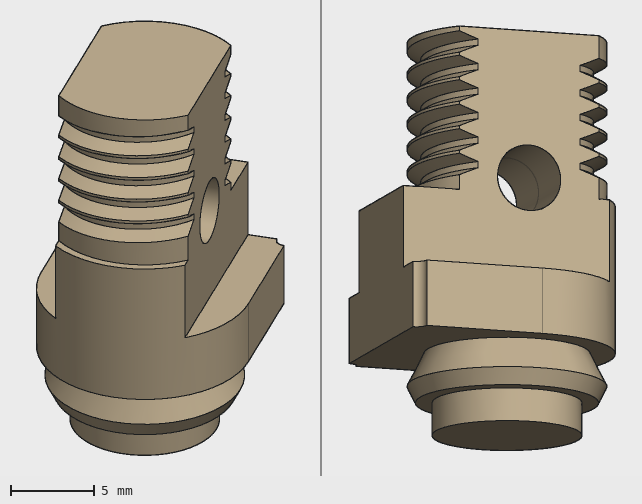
import cadquery as cq
import math

HEIGHT = 24.0
SPIGOT_TOP = HEIGHT / 12
CONE_RIDGE = HEIGHT / 8
COLLAR_BOTTOM = HEIGHT * 5 / 24
SHOULDER = HEIGHT * 3 / 8
STUD_BOTTOM = HEIGHT * 7 / 12

COLLAR_RADIUS = 6.5
COLLAR_BACK = 8.0
CORNER_NOTCH_RADIUS = 0.65
TONGUE_WIDTH = 8.1
STUD_RADIUS = 6.0

SPIGOT_RADIUS = STUD_RADIUS * 3 / 4
CONE_BOTTOM_RADIUS = 5.5
CONE_RIDGE_RADIUS = STUD_RADIUS
CONE_TOP_RADIUS = 5.0

HOLE_DIAMETER = 4.0
HOLE_HEIGHT = 15.0

PITCH = HEIGHT / 16
THREAD_TURNS = 5.5
THREAD_START = 15.0
GROOVE_MOUTH = PITCH * 7 / 8
GROOVE_ROOT = PITCH / 4
FLANK_SLOPE = math.tan(math.radians(30))
GROOVE_DEPTH = (GROOVE_MOUTH - GROOVE_ROOT) / 2 / FLANK_SLOPE
CUTTER_OVERLAP = 0.1


def make_lower_end():
    """Spigot and double cone, revolved about Z."""
    return (
        cq.Workplane("XZ")
        .moveTo(0, 0)
        .lineTo(SPIGOT_RADIUS, 0)
        .lineTo(SPIGOT_RADIUS, SPIGOT_TOP)
        .lineTo(CONE_BOTTOM_RADIUS, SPIGOT_TOP)
        .lineTo(CONE_RIDGE_RADIUS, CONE_RIDGE)
        .lineTo(CONE_TOP_RADIUS, COLLAR_BOTTOM)
        .lineTo(0, COLLAR_BOTTOM)
        .close()
        .revolve(360, (0, 0, 0), (0, 1, 0))
    )


def make_collar():
    """D-shaped body, rounded at -Y, with scalloped corners at +Y."""
    body_height = STUD_BOTTOM - COLLAR_BOTTOM
    corners = [(-COLLAR_RADIUS, COLLAR_BACK), (COLLAR_RADIUS, COLLAR_BACK)]
    body = (
        cq.Workplane("XY")
        .workplane(offset=COLLAR_BOTTOM)
        .moveTo(-COLLAR_RADIUS, COLLAR_BACK)
        .lineTo(-COLLAR_RADIUS, 0)
        .threePointArc((0, -COLLAR_RADIUS), (COLLAR_RADIUS, 0))
        .lineTo(COLLAR_RADIUS, COLLAR_BACK)
        .close()
        .extrude(body_height)
    )
    notches = (
        cq.Workplane("XY")
        .workplane(offset=COLLAR_BOTTOM)
        .pushPoints(corners)
        .circle(CORNER_NOTCH_RADIUS)
        .extrude(body_height)
    )
    return body.cut(notches)


def make_thread_groove():
    """Helical trapezoidal cutter, widened slightly past the stud surface."""
    path = cq.Wire.makeHelix(
        PITCH, PITCH * THREAD_TURNS, STUD_RADIUS, center=cq.Vector(0, 0, THREAD_START)
    )
    root_half = GROOVE_ROOT / 2
    outer_half = GROOVE_MOUTH / 2 + CUTTER_OVERLAP * FLANK_SLOPE
    root_radius = STUD_RADIUS - GROOVE_DEPTH
    outer_radius = STUD_RADIUS + CUTTER_OVERLAP
    return (
        cq.Workplane("XZ")
        .moveTo(root_radius, THREAD_START - root_half)
        .lineTo(outer_radius, THREAD_START - outer_half)
        .lineTo(outer_radius, THREAD_START + outer_half)
        .lineTo(root_radius, THREAD_START + root_half)
        .close()
        .sweep(cq.Workplane(path), isFrenet=True)
    )


def make_stud():
    """Threaded round stud."""
    stud = (
        cq.Workplane("XY")
        .workplane(offset=STUD_BOTTOM)
        .circle(STUD_RADIUS)
        .extrude(HEIGHT - STUD_BOTTOM)
    )
    return stud.cut(make_thread_groove())


def make_tongue_envelope():
    """Slab that limits everything above the shoulder to the tongue width."""
    return (
        cq.Workplane("XY")
        .workplane(offset=SHOULDER)
        .rect(TONGUE_WIDTH, 2 * COLLAR_BACK)
        .extrude(HEIGHT - SHOULDER)
    )


def make_shoulder_envelope():
    """Full-width block below the shoulder."""
    return cq.Workplane("XY").rect(2 * COLLAR_RADIUS, 2 * COLLAR_BACK).extrude(SHOULDER)


def make_cross_hole():
    """Through hole along X."""
    return (
        cq.Workplane("YZ")
        .center(0, HOLE_HEIGHT)
        .circle(HOLE_DIAMETER / 2)
        .extrude(COLLAR_RADIUS, both=True)
    )


envelope = make_shoulder_envelope().union(make_tongue_envelope())
collar = make_collar().intersect(envelope)
stud = make_stud().intersect(envelope)
result = make_lower_end().union(collar).union(stud).cut(make_cross_hole())